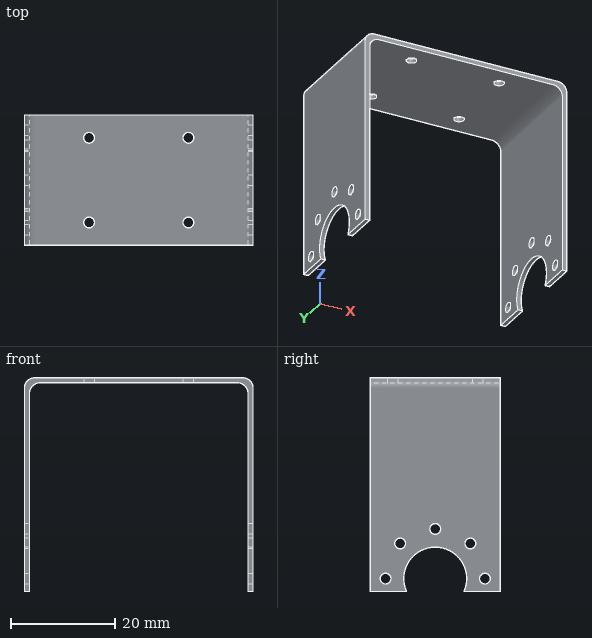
import cadquery as cq

length = 43.85
width = 25.0
height = 41.0
sheet = 1.0
outer_bend = 2.0
inner_bend = 2.0

hole_diameter = 2.0
top_spacing_x = 19.05
top_spacing_y = 16.22
bore_radius = 6.0
bore_height = 2.5
ring_radius = 9.5
ring_holes = 5
ring_sweep = 180.0


def solid_profile(span, rise, bend):
    """Block standing on Z = 0 with its two upper edges along Y rounded."""
    block = cq.Workplane("XY").box(span, width, rise, centered=(True, True, False))
    return block.edges("|Y and >Z").fillet(bend)


def top_hole_cutter():
    """Four vertical holes through the top plate."""
    return (
        cq.Workplane("XY", origin=(0, 0, height - 2 * sheet))
        .rect(top_spacing_x, top_spacing_y, forConstruction=True)
        .vertices()
        .circle(hole_diameter / 2)
        .extrude(3 * sheet)
    )


def leg_cutter():
    """Open bore and its half ring of holes, running through both legs."""
    plane = cq.Workplane("YZ", origin=(0, 0, bore_height))
    bore = plane.circle(bore_radius).extrude(length, both=True)
    ring = (
        plane.polarArray(ring_radius, 0, ring_sweep, ring_holes, fill=True)
        .circle(hole_diameter / 2)
        .extrude(length, both=True)
    )
    return bore.union(ring)


outside = solid_profile(length, height, outer_bend)
inside = solid_profile(length - 2 * sheet, height - sheet, inner_bend)
result = outside.cut(inside).cut(top_hole_cutter()).cut(leg_cutter())